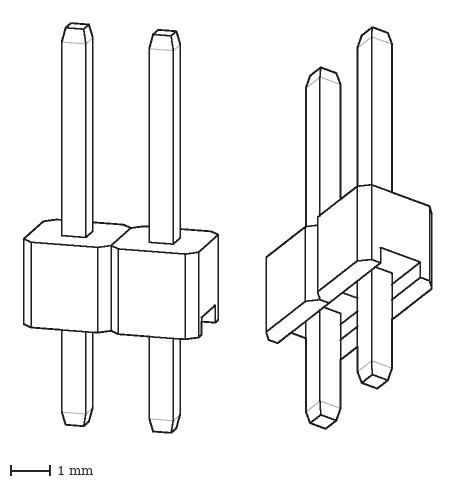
import cadquery as cq

segment_count = 2
row_length = 4.66
pitch = row_length / segment_count

block_depth = 2.33
block_height = 2.26
corner_x = 0.27
corner_y = 0.26

channel_width = 1.23
channel_height = 0.46

pin_length = 10.53
pin_width = 0.64
tip_width = 0.48
tip_length = 0.36
pin_below_block = 2.77
pin_bottom = -pin_below_block
pin_top = pin_bottom + pin_length


def make_block():
    """Block with cut corners and a channel along X; its underside is at Z = 0."""
    half_x = pitch / 2
    half_y = block_depth / 2
    flat_x = half_x - corner_x
    flat_y = half_y - corner_y
    outline = [
        (half_x, -flat_y),
        (half_x, flat_y),
        (flat_x, half_y),
        (-flat_x, half_y),
        (-half_x, flat_y),
        (-half_x, -flat_y),
        (-flat_x, -half_y),
        (flat_x, -half_y),
    ]
    block = cq.Workplane("XY").polyline(outline).close().extrude(block_height)
    channel = cq.Workplane("XY").box(
        pitch, channel_width, channel_height, centered=(True, True, False)
    )
    return block.cut(channel)


def make_tip(base_z, end_z):
    """Taper from the full pin width at base_z to the tip width at end_z."""
    return (
        cq.Workplane("XY")
        .workplane(offset=base_z)
        .rect(pin_width, pin_width)
        .workplane(offset=end_z - base_z)
        .rect(tip_width, tip_width)
        .loft(ruled=True)
    )


def make_pin():
    """Square pin with a tapered tip at each end."""
    shaft_bottom = pin_bottom + tip_length
    shaft_top = pin_top - tip_length
    shaft = (
        cq.Workplane("XY")
        .workplane(offset=shaft_bottom)
        .rect(pin_width, pin_width)
        .extrude(shaft_top - shaft_bottom)
    )
    lower_tip = make_tip(shaft_bottom, pin_bottom)
    upper_tip = make_tip(shaft_top, pin_top)
    return shaft.union(lower_tip).union(upper_tip)


def make_segment(center_x):
    """One header segment: a block and its pin as a single solid."""
    segment = make_block().union(make_pin())
    return segment.translate((center_x, 0, 0))


segments = []
for index in range(segment_count):
    center_x = (index - (segment_count - 1) / 2) * pitch
    segments.append(make_segment(center_x))

result = cq.Compound.makeCompound([segment.solids().val() for segment in segments])